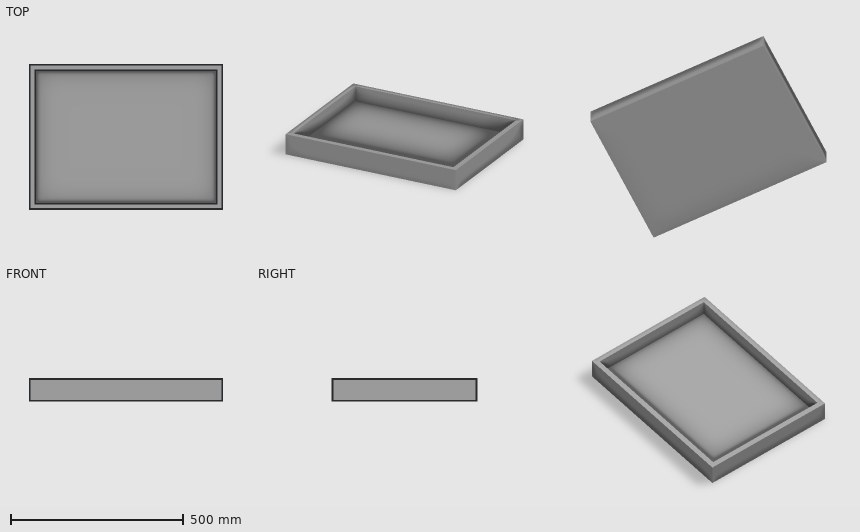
import cadquery as cq

length = 559.0
width = 419.0
height = 63.5

inner_length = 527.0
wall = (length - inner_length) / 2
inner_width = width - 2 * wall
panel_thickness = wall


def block(size_x, size_y, size_z):
    """Box centred on the Z axis and standing on the XY plane."""
    return cq.Workplane("XY").box(size_x, size_y, size_z, centered=(True, True, False))


def make_frame():
    """Rectangular ring of four sides, open at the top and bottom."""
    return block(length, width, height).cut(block(inner_length, inner_width, height))


def make_floor_panel():
    """Flat panel filling the bottom of the frame."""
    return block(inner_length, inner_width, panel_thickness)


frame = make_frame()
floor_panel = make_floor_panel()

result = cq.Compound.makeCompound([frame.val(), floor_panel.val()])